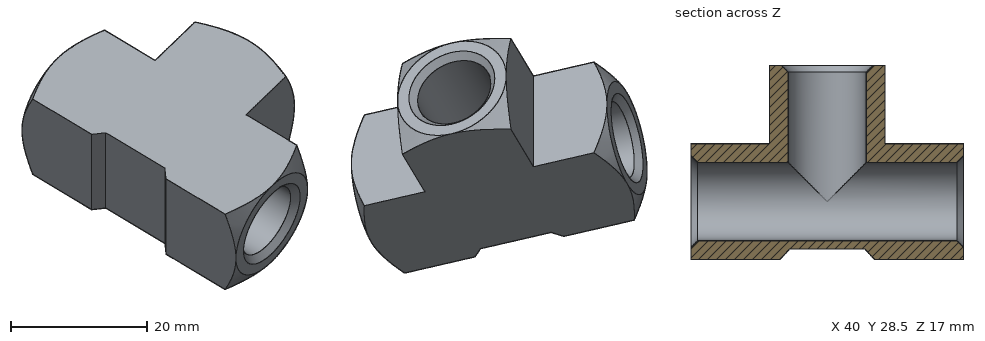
import cadquery as cq
import math

run_length = 40.0
total_depth = 28.5
section = 17.0
bore_diameter = 11.45
mouth_diameter = 13.45
end_chamfer_angle = 30.0
notch_opening = 13.9
notch_floor = 11.05
notch_depth = 1.5

half_section = section / 2
half_run = run_length / 2
branch_length = total_depth - half_section
bore_radius = bore_diameter / 2
mouth_radius = mouth_diameter / 2
mouth_depth = mouth_radius - bore_radius
corner_radius = half_section * math.sqrt(2)
clear_radius = corner_radius + 0.4
chamfer_depth = (clear_radius - half_section) * math.tan(math.radians(end_chamfer_angle))


def square_arm(length):
    """Square arm along +X, its outer corners cut back by a cone."""
    bar = cq.Workplane("YZ").rect(section, section).extrude(length)
    envelope = (
        cq.Workplane("XY")
        .polyline([
            (0, 0),
            (length, 0),
            (length, half_section),
            (length - chamfer_depth, clear_radius),
            (0, clear_radius),
        ])
        .close()
        .revolve(360, (0, 0, 0), (1, 0, 0))
    )
    return bar.intersect(envelope)


def arm_bore(length):
    """Bore along +X from the centre, countersunk at the outer end."""
    return (
        cq.Workplane("XY")
        .polyline([
            (0, 0),
            (length, 0),
            (length, mouth_radius),
            (length - mouth_depth, bore_radius),
            (0, bore_radius),
        ])
        .close()
        .revolve(360, (0, 0, 0), (1, 0, 0))
    )


def back_notch():
    """Trapezoidal notch across the flat side opposite the branch."""
    return (
        cq.Workplane("XY")
        .polyline([
            (-notch_opening / 2, -half_section),
            (notch_opening / 2, -half_section),
            (notch_floor / 2, -half_section + notch_depth),
            (-notch_floor / 2, -half_section + notch_depth),
        ])
        .close()
        .extrude(half_section, both=True)
    )


arms = [(0, half_run), (90, branch_length), (180, half_run)]

result = cq.Workplane("XY").box(section, section, section)
for angle, length in arms:
    result = result.union(square_arm(length).rotate((0, 0, 0), (0, 0, 1), angle))
for angle, length in arms:
    result = result.cut(arm_bore(length).rotate((0, 0, 0), (0, 0, 1), angle))
result = result.cut(back_notch()).clean()